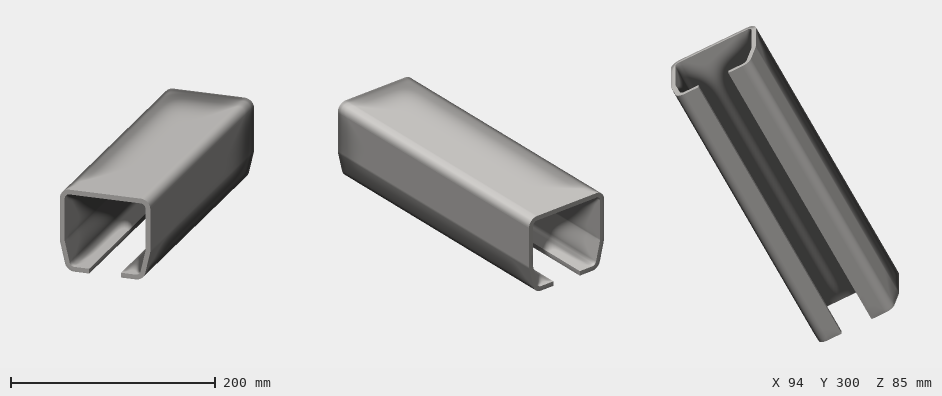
import cadquery as cq

width = 94.0
length = 300.0
height = 85.0

thickness = 5.0
bend_radius = 10.0

knee_height = 30.5
bottom_width = 79.75
slot_width = 33.0


def outer_envelope():
    """Solid bar with the rail's outer outline, centred on X and Y, centred in height."""
    top = height / 2
    bottom = -height / 2
    knee = bottom + knee_height
    outline = [
        (-bottom_width / 2, bottom),
        (-width / 2, knee),
        (-width / 2, top),
        (width / 2, top),
        (width / 2, knee),
        (bottom_width / 2, bottom),
    ]
    bar = cq.Workplane("XZ").polyline(outline).close().extrude(length / 2, both=True)
    return bar.edges("|Y").fillet(bend_radius)


def inner_channel(envelope):
    """Hollow of the rail: the outer outline moved inward by the sheet thickness."""
    end_outline = envelope.faces("<Y").wires().val()
    end_plane = cq.Workplane("XZ", origin=(0, -length / 2, 0))
    return end_plane.add(end_outline).toPending().offset2D(-thickness).extrude(-length)


def bottom_slot():
    """Opening along the whole length between the two bottom lips."""
    slot = cq.Workplane("XY").box(slot_width, length, 2 * thickness)
    return slot.translate((0, 0, -height / 2))


envelope = outer_envelope()
result = envelope.cut(inner_channel(envelope)).cut(bottom_slot())